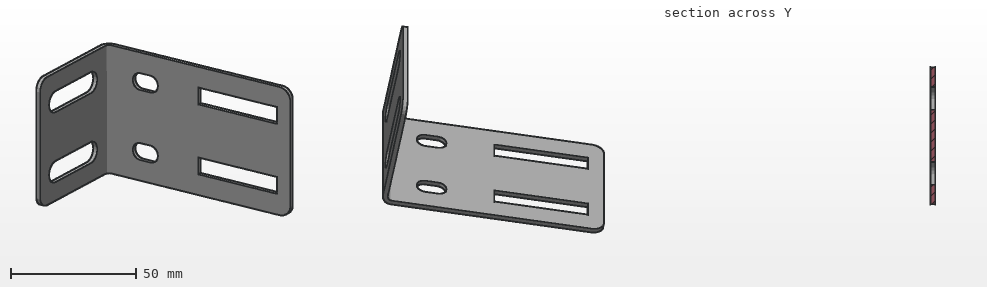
import cadquery as cq

length = 90.0
depth = 50.0
height = 55.0
thickness = 2.0
bend_outer_radius = 4.0
bend_inner_radius = bend_outer_radius - thickness
corner_radius = 5.0

row_spacing = 30.0
end_margin = 6.5

short_slot_length = 12.1
short_slot_width = 7.2
short_slot_center_x = 20.1

window_length = 38.0
window_width = 7.2
window_center_x = length - end_margin - window_length / 2

side_slot_length = 34.0
side_slot_width = 9.0
side_slot_center_y = end_margin + side_slot_length / 2

row_heights = (-row_spacing / 2, row_spacing / 2)


def bent_sheet():
    """L-shaped sheet with a rounded bend and rounded free corners."""
    sheet = (
        cq.Workplane("XY")
        .moveTo(0, 0)
        .lineTo(thickness, 0)
        .lineTo(thickness, depth - thickness)
        .lineTo(length, depth - thickness)
        .lineTo(length, depth)
        .lineTo(0, depth)
        .close()
        .extrude(height / 2, both=True)
    )
    sheet = sheet.edges("<X and >Y").fillet(bend_outer_radius)
    inner_bend = cq.selectors.NearestToPointSelector((thickness, depth - thickness, 0))
    sheet = sheet.edges("|Z").edges(inner_bend).fillet(bend_inner_radius)
    sheet = sheet.faces(">X").edges("|Y").fillet(corner_radius)
    return sheet.faces("<Y").edges("|X").fillet(corner_radius)


def long_flange_openings():
    """Cutters for the short slots and rectangular windows, along Y."""
    plane = cq.Workplane("XZ", origin=(0, depth, 0))
    slots = (
        plane.pushPoints([(short_slot_center_x, z) for z in row_heights])
        .slot2D(short_slot_length, short_slot_width)
        .extrude(thickness)
    )
    windows = (
        plane.pushPoints([(window_center_x, z) for z in row_heights])
        .rect(window_length, window_width)
        .extrude(thickness)
    )
    return slots.union(windows)


def short_flange_openings():
    """Cutters for the long rounded slots, along X."""
    return (
        cq.Workplane("YZ")
        .pushPoints([(side_slot_center_y, z) for z in row_heights])
        .slot2D(side_slot_length, side_slot_width)
        .extrude(thickness)
    )


result = bent_sheet().cut(long_flange_openings()).cut(short_flange_openings())